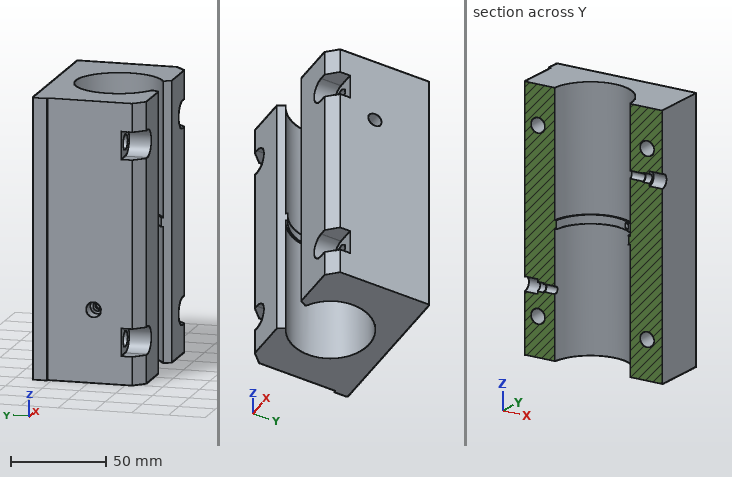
import cadquery as cq
import math

WIDTH = 87.0
DEPTH = 60.0
HEIGHT = 152.0
LIP_OVERHANG = 1.2
LIP_THICKNESS = 8.0
BACK_CHAMFER = 0.5
FRONT_CHAMFER = 6.0

BORE_Y = -5.0
BORE_DIAMETER = 47.0
LAND_DIAMETER = 45.0
LAND_WIDTH = 5.0
OPENING_WIDTH = 25.7
OPENING_HALF_ANGLE = 30.0

MOUNT_SPACING_X = 68.0
MOUNT_SPACING_Z = 106.0
MOUNT_DIAMETER = 8.38
SEAT_WIDTH = 15.0
SEAT_DEPTH = 12.0

PORT_Y = -3.0
PORT_Z = 36.5
PORT_DIAMETER = 8.0
PORT_DEPTH = 8.0
PORT_NECK_DIAMETER = 5.0
PORT_NECK_DEPTH = 12.0
PORT_DRILL_DIAMETER = 4.13

LAND_HOLE_DIAMETER = 3.3
LAND_HOLE_ANGLE = 25.0
LAND_HOLE_DEPTH = 3.0

right_x = WIDTH / 2
left_x = -WIDTH / 2
back_y = DEPTH / 2
front_y = -DEPTH / 2


def block():
    """Extruded outline with the lip and the chamfered corners."""
    side_x = left_x + LIP_OVERHANG
    outline = [
        (left_x + BACK_CHAMFER, back_y),
        (right_x - BACK_CHAMFER, back_y),
        (right_x, back_y - BACK_CHAMFER),
        (right_x, front_y + FRONT_CHAMFER),
        (right_x - FRONT_CHAMFER, front_y),
        (side_x + FRONT_CHAMFER, front_y),
        (side_x, front_y + FRONT_CHAMFER),
        (side_x, back_y - LIP_THICKNESS),
        (left_x, back_y - LIP_THICKNESS),
        (left_x, back_y - BACK_CHAMFER),
    ]
    return cq.Workplane("XY").polyline(outline).close().extrude(HEIGHT / 2, both=True)


def bore():
    """Stepped bore and its wedge opening, flaring towards the front face."""
    land_bore = cq.Workplane("XY").circle(LAND_DIAMETER / 2).extrude(HEIGHT / 2, both=True)
    main_bore = cq.Workplane("XY").circle(BORE_DIAMETER / 2).extrude(HEIGHT / 2, both=True)
    land_slice = cq.Workplane("XY").box(WIDTH, DEPTH, LAND_WIDTH)
    wedge_length = OPENING_WIDTH / 2 / math.tan(math.radians(OPENING_HALF_ANGLE))
    wedge = (
        cq.Workplane("XY")
        .polyline([
            (0, front_y + wedge_length),
            (-OPENING_WIDTH / 2, front_y),
            (OPENING_WIDTH / 2, front_y),
        ])
        .close()
        .extrude(HEIGHT / 2, both=True)
    )
    stepped_bore = main_bore.cut(land_slice).union(land_bore)
    return stepped_bore.translate((0, BORE_Y, 0)).union(wedge)


def mount(side, z):
    """Through hole along Y and its round-ended seat, open to the given X side."""
    x = side * MOUNT_SPACING_X / 2
    hole = cq.Workplane("XZ").center(x, z).circle(MOUNT_DIAMETER / 2).extrude(DEPTH / 2, both=True)
    seat_plane = cq.Workplane("XZ", origin=(x, front_y + SEAT_DEPTH, z))
    seat_end = seat_plane.circle(SEAT_WIDTH / 2).extrude(SEAT_DEPTH)
    seat_length = right_x - MOUNT_SPACING_X / 2
    seat_run = (
        seat_plane.center(side * seat_length / 2, 0)
        .rect(seat_length, SEAT_WIDTH)
        .extrude(SEAT_DEPTH)
    )
    return hole.union(seat_end).union(seat_run)


def port(side):
    """Port stepped down in three diameters, running from one side face into the bore."""
    face_x = right_x if side > 0 else left_x + LIP_OVERHANG
    mouth = cq.Plane(origin=(face_x, PORT_Y, side * PORT_Z), xDir=(0, 1, 0), normal=(-side, 0, 0))
    drill = cq.Workplane(mouth).circle(PORT_DRILL_DIAMETER / 2).extrude(abs(face_x))
    counterbore = cq.Workplane(mouth).circle(PORT_DIAMETER / 2).extrude(PORT_DEPTH)
    neck = cq.Workplane(mouth).circle(PORT_NECK_DIAMETER / 2).extrude(PORT_NECK_DEPTH)
    return drill.union(neck).union(counterbore)


def land_hole():
    """Blind radial hole drilled outwards from the bore through the land."""
    angle = math.radians(LAND_HOLE_ANGLE)
    radial = cq.Plane(
        origin=(0, BORE_Y, 0), xDir=(0, 0, 1), normal=(math.sin(angle), math.cos(angle), 0)
    )
    length = BORE_DIAMETER / 2 + LAND_HOLE_DEPTH
    return cq.Workplane(radial).circle(LAND_HOLE_DIAMETER / 2).extrude(length)


result = block().cut(bore())
for side in (-1, 1):
    result = result.cut(port(side))
    for level in (-1, 1):
        result = result.cut(mount(side, level * MOUNT_SPACING_Z / 2))
result = result.cut(land_hole())